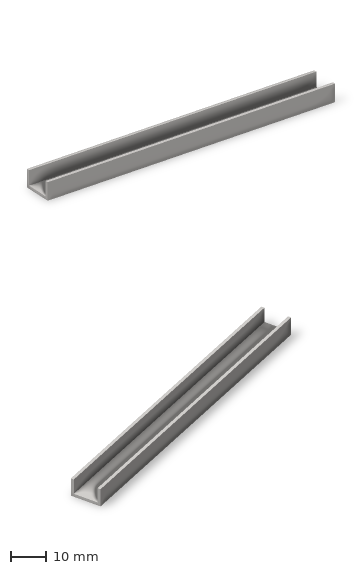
import cadquery as cq

length = 101.0
width = 10.0
height = 6.0
wall = 1.0

body = cq.Workplane("XY").box(width, length, height, centered=(True, True, False))

groove = (
    cq.Workplane("XY")
    .workplane(offset=wall)
    .box(width - 2 * wall, length, height - wall, centered=(True, True, False))
)

result = body.cut(groove)